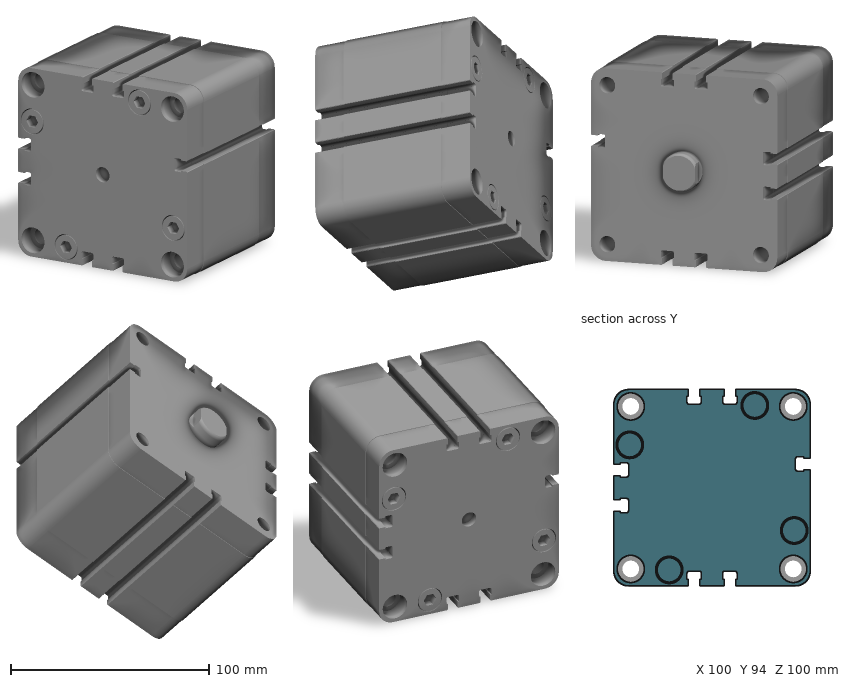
import cadquery as cq
import math

barrel_size = 100.0
cap_inset = 0.3
cap_size = barrel_size - 2 * cap_inset
corner_center = 42.0
cap_length = 16.0
housing_length = 86.0
barrel_length = housing_length - 2 * cap_length

slot_offset = 9.0
single_slot_offset = 12.0
slot_mouth_width = 5.5
slot_inner_width = 7.0
barrel_slot_floor = 42.3
cap_slot_floor = 42.2
slot_lip = 46.1
slot_corner_radius = 1.0
barrel_mouth_chamfer = 0.2
cap_mouth_chamfer = 0.3

mount_offset = 41.0
mount_diameter = 8.4
mount_bore_diameter = 13.5
mount_bore_depth = 8.6

screw_along = 21.6
screw_across = 41.5
screw_recess_diameter = 13.5
screw_head_diameter = 12.5
screw_head_height = 8.0
hex_across_flats = 6.0
hex_depth = 4.0

center_hole_diameter = 8.0
center_hole_depth = 4.0

rod_diameter = 20.0
rod_length = 8.0
rod_tip_length = 2.0
rod_tip_drop = 1.0
flat_across = 17.0
flat_length = 6.0


def square_block(size, start_y, length):
    """Square bar along Y with rounded long edges."""
    return (
        cq.Workplane("XZ", origin=(0, start_y, 0))
        .rect(size, size)
        .extrude(-length)
        .edges("|Y")
        .fillet(size / 2 - corner_center)
    )


def cylinder_cut(x, z, diameter, depth):
    """Round cutter entering the -Y face at (x, z)."""
    return cq.Workplane("XZ").center(x, z).circle(diameter / 2).extrude(-depth)


def slot_cut(center_x, surface, slot_floor, mouth_chamfer, start_y, length):
    """Undercut slot in the +Z side, with a chamfered mouth."""
    inner = (
        cq.Workplane("XZ", origin=(center_x, start_y, (slot_floor + slot_lip) / 2))
        .rect(slot_inner_width, slot_lip - slot_floor)
        .extrude(-length)
        .edges("|Y and <Z")
        .fillet(slot_corner_radius)
    )
    half_mouth = slot_mouth_width / 2
    right_side = [
        (half_mouth, slot_floor),
        (half_mouth, surface - mouth_chamfer),
        (half_mouth + mouth_chamfer, surface),
    ]
    left_side = [(-x, z) for x, z in reversed(right_side)]
    mouth = (
        cq.Workplane("XZ", origin=(center_x, start_y, 0))
        .polyline(right_side + left_side)
        .close()
        .extrude(-length)
    )
    return inner.union(mouth)


def around_y(shape, angle):
    """Turn a shape about the Y axis."""
    return shape.rotate((0, 0, 0), (0, 1, 0), angle)


def housing_section(size, slot_floor, mouth_chamfer, start_y, length):
    """One length of the housing with its seven slots."""
    section = square_block(size, start_y, length)
    slots = [(0, slot_offset), (0, -slot_offset)]
    slots += [(180, slot_offset), (180, -slot_offset)]
    slots += [(-90, slot_offset), (-90, -slot_offset)]
    slots += [(90, -single_slot_offset)]
    for angle, offset in slots:
        slot = slot_cut(offset, size / 2, slot_floor, mouth_chamfer, start_y, length)
        section = section.cut(around_y(slot, angle))
    return section


def screw_cut(x, z):
    """Clearance ring around a flush screw head, and its hex socket."""
    hex_corner_diameter = hex_across_flats / math.cos(math.radians(30))
    face = cq.Workplane("XZ", origin=(x, 0, z))
    ring = (
        face.circle(screw_recess_diameter / 2)
        .circle(screw_head_diameter / 2)
        .extrude(-screw_head_height)
    )
    return ring.union(face.polygon(6, hex_corner_diameter).extrude(-hex_depth))


def piston_rod():
    """Rod on the +Y side with a rounded tip edge and two wrench flats."""
    radius = rod_diameter / 2
    tip_y = housing_length + rod_length
    tip_arc_radius = (rod_tip_length**2 + rod_tip_drop**2) / (2 * rod_tip_drop)
    rod = (
        cq.Workplane("XY")
        .moveTo(0, housing_length - cap_length)
        .lineTo(radius, housing_length - cap_length)
        .lineTo(radius, tip_y - rod_tip_length)
        .radiusArc((radius - rod_tip_drop, tip_y), -tip_arc_radius)
        .lineTo(0, tip_y)
        .close()
        .revolve(360, (0, 0, 0), (0, 1, 0))
    )
    half_flat = flat_across / 2
    flat_end = tip_y - flat_length
    runout = radius - half_flat
    flat_cut = (
        cq.Workplane("XY")
        .polyline([
            (half_flat, tip_y),
            (half_flat, flat_end),
            (half_flat + runout, flat_end - runout),
            (half_flat + runout, tip_y),
        ])
        .close()
        .extrude(radius, both=True)
    )
    return rod.cut(flat_cut).cut(flat_cut.mirror("YZ"))


result = housing_section(
    barrel_size, barrel_slot_floor, barrel_mouth_chamfer, cap_length, barrel_length
)
for cap_start in (0, cap_length + barrel_length):
    cap = housing_section(cap_size, cap_slot_floor, cap_mouth_chamfer, cap_start, cap_length)
    result = result.union(cap)

for x in (-mount_offset, mount_offset):
    for z in (-mount_offset, mount_offset):
        result = result.cut(cylinder_cut(x, z, mount_diameter, housing_length))
        result = result.cut(cylinder_cut(x, z, mount_bore_diameter, mount_bore_depth))

for x, z in (
    (screw_along, screw_across),
    (screw_across, -screw_along),
    (-screw_along, -screw_across),
    (-screw_across, screw_along),
):
    result = result.cut(screw_cut(x, z))

result = result.cut(cylinder_cut(0, 0, center_hole_diameter, center_hole_depth))

result = result.union(piston_rod())